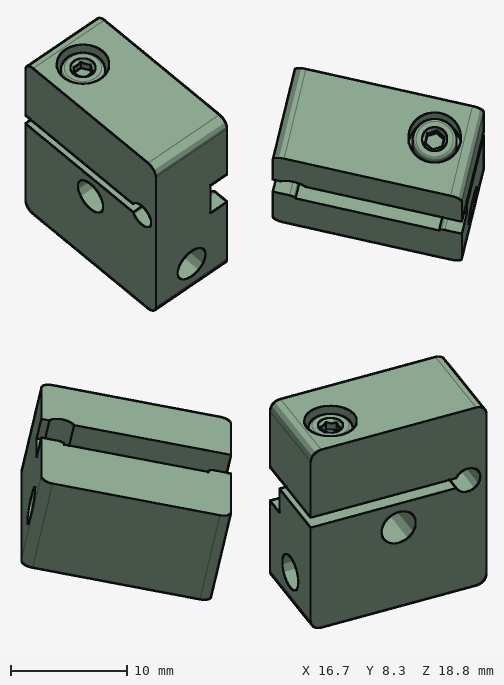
import cadquery as cq

width = 16.7
depth = 8.3
height = 18.8
corner_radius = 1.0

slot_height = 1.05
slot_z = 11.4
slot_top = slot_z + slot_height / 2
relief_diameter = 2.4
relief_x = 6.55

step_depth = 1.92
step_floor = 8.37
ledge_width = 1.5
ledge_round = 0.5
dip_half_width = width / 2 - ledge_width

bore_diameter = 3.23
front_bore_z = step_floor
front_bore_depth = 5.0
cross_bore_z = 3.48

screw_x = -4.83
screw_y = -0.64
shank_diameter = 2.0
shank_length = 10.0
head_diameter = 3.8
head_height = 2.0
head_round = 0.3
head_sink = 0.45
head_top = height - head_sink
head_bottom = head_top - head_height
screw_bottom = head_bottom - shank_length
counterbore_diameter = 4.51
socket_mouth_diameter = 2.16
socket_flats = 1.5
socket_corners = socket_flats / 0.75**0.5
socket_depth = 1.0
socket_cone_depth = (socket_mouth_diameter - socket_flats) / 2


def cylinder_z(diameter, bottom, top):
    """Vertical cylinder on the screw axis."""
    base = cq.Workplane("XY", origin=(screw_x, screw_y, bottom))
    return base.circle(diameter / 2).extrude(top - bottom)


def cut_slot():
    """Slot open to the left, with the round relief at its closed end."""
    slot_length = relief_x + width / 2
    slot = cq.Workplane("XY").box(slot_length, depth, slot_height)
    slot = slot.translate((relief_x - slot_length / 2, 0, slot_z))
    relief = cq.Workplane("XZ", origin=(relief_x, 0, slot_z))
    relief = relief.circle(relief_diameter / 2).extrude(depth / 2, both=True)
    return slot.union(relief)


def cut_step():
    """Full-width rear step whose floor rolls down into a central dip."""
    dip_floor = step_floor - ledge_round
    arc_end = dip_half_width - ledge_round
    profile = (
        cq.Workplane("XZ", origin=(0, depth / 2, 0))
        .moveTo(-width / 2, slot_top)
        .lineTo(-width / 2, step_floor)
        .lineTo(-dip_half_width, step_floor)
        .radiusArc((-arc_end, dip_floor), ledge_round)
        .lineTo(arc_end, dip_floor)
        .radiusArc((dip_half_width, step_floor), ledge_round)
        .lineTo(width / 2, step_floor)
        .lineTo(width / 2, slot_top)
        .close()
    )
    return profile.extrude(step_depth)


def make_block():
    block = cq.Workplane("XY").box(width, depth, height, centered=(True, True, False))
    block = block.edges("|Y").fillet(corner_radius)
    block = block.cut(cut_slot()).cut(cut_step())

    front_plane = cq.Workplane("XZ", origin=(0, -depth / 2, front_bore_z))
    front_bore = front_plane.circle(bore_diameter / 2).extrude(-front_bore_depth)
    cross_plane = cq.Workplane("YZ", origin=(0, 0, cross_bore_z))
    cross_bore = cross_plane.circle(bore_diameter / 2).extrude(width / 2, both=True)
    block = block.cut(front_bore).cut(cross_bore)

    screw_hole = cylinder_z(shank_diameter, screw_bottom, height)
    counterbore = cylinder_z(counterbore_diameter, head_bottom, height)
    return block.cut(screw_hole).cut(counterbore)


def make_screw():
    head = cylinder_z(head_diameter, head_bottom, head_top)
    head = head.faces(">Z").edges().fillet(head_round)
    shank = cylinder_z(shank_diameter, screw_bottom, head_bottom)

    socket_plane = cq.Workplane("XY", origin=(screw_x, screw_y, head_top))
    hexagon = socket_plane.transformed(rotate=(0, 0, 90)).polygon(6, socket_corners)
    socket = hexagon.extrude(-socket_depth)
    mouth = cq.Solid.makeCone(
        socket_mouth_diameter / 2,
        socket_flats / 2,
        socket_cone_depth,
        cq.Vector(screw_x, screw_y, head_top),
        cq.Vector(0, 0, -1),
    )
    return head.union(shank).cut(socket).cut(cq.Workplane(mouth))


block = make_block()
screw = make_screw()
result = cq.Compound.makeCompound([block.val(), screw.val()])